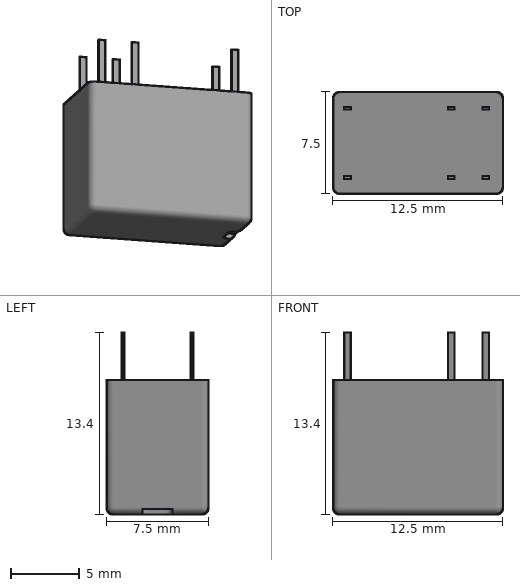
import cadquery as cq

BODY_LENGTH = 12.5
BODY_WIDTH = 7.5
BODY_HEIGHT = 9.9
EDGE_RADIUS = 0.5

TOTAL_HEIGHT = 13.4
PIN_LENGTH = TOTAL_HEIGHT - BODY_HEIGHT
PIN_WIDTH = 0.5
PIN_THICKNESS = 0.2
PITCH = 2.54
FIRST_PIN_X = -5.18
PIN_COLUMNS = [FIRST_PIN_X + steps * PITCH for steps in (0, 3, 4)]
ROW_SPACING = 2 * PITCH

NOTCH_WIDTH = 2.2
NOTCH_HEIGHT = 0.4
NOTCH_DEPTH = 1.0
NOTCH_CORNER_RADIUS = 0.5


def make_housing():
    """Box with rounded upright edges and a rounded bottom rim."""
    block = cq.Workplane("XY").box(
        BODY_LENGTH, BODY_WIDTH, BODY_HEIGHT, centered=(True, True, False)
    )
    return block.edges("|Z").fillet(EDGE_RADIUS).faces("<Z").edges().fillet(EDGE_RADIUS)


def make_notch():
    """Shallow recess, open downwards and to -X, with rounded inner corners."""
    recess = cq.Workplane("XY").box(
        NOTCH_DEPTH, NOTCH_WIDTH, NOTCH_HEIGHT, centered=(False, True, False)
    )
    recess = recess.edges("|Z and >X").fillet(NOTCH_CORNER_RADIUS)
    return recess.translate((-BODY_LENGTH / 2, 0, 0))


def make_pins():
    """Two rows of flat pins, rooted on the top face."""
    positions = [(x, side * ROW_SPACING / 2) for x in PIN_COLUMNS for side in (-1, 1)]
    return (
        cq.Workplane("XY", origin=(0, 0, BODY_HEIGHT))
        .pushPoints(positions)
        .rect(PIN_WIDTH, PIN_THICKNESS)
        .extrude(PIN_LENGTH)
    )


result = make_housing().cut(make_notch()).union(make_pins())